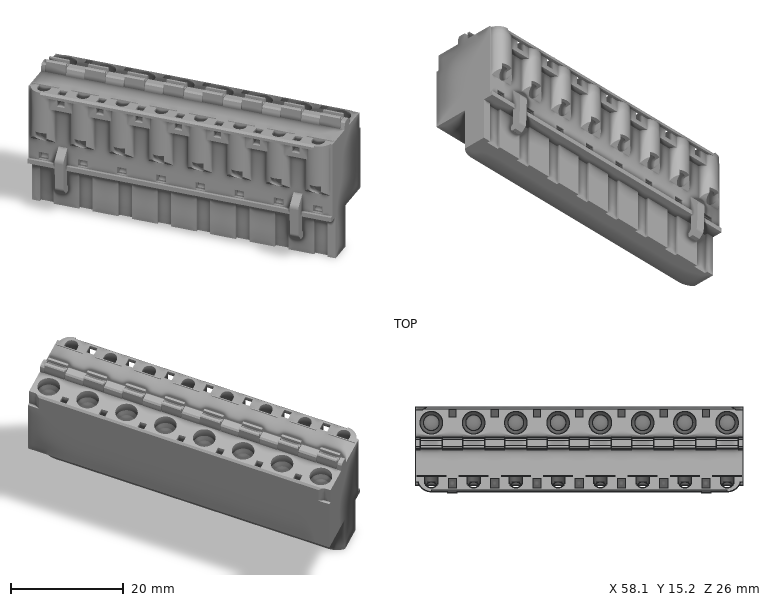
import cadquery as cq


length = 58.1
poles = 8
pitch = 7.5
pole_x = [(i - (poles - 1) / 2) * pitch for i in range(poles)]
gap_x = [x + pitch / 2 for x in pole_x[:-1]]
latch_x = [gap_x[0], gap_x[-1]]

body_depth = 13.3
body_bottom = 8.35
body_top = 23.75
leg_front = 1.5
leg_back = 7.3
leg_corner_drop = 1.1
leg_groove_width = 2.6
leg_groove_depth = 0.6
rail_height = 0.9
rail_reach = 0.6

barrel_reach = 1.75
barrel_half_chord = 2.4
barrel_bottom = 13.3
barrel_slope_rise = 1.5
cap_bottom = 22.9
cap_chamfer = 0.35
web_reach = 1.15
web_bottom = 20.45

channel_width = 2.4
channel_back = 1.0
channel_arc_y = 0.2
outlet_top = 15.7
marker_length = 5.1
marker_width = 0.2
marker_height = 0.2

front_pocket_width = 1.45
front_pocket_front = -1.05
front_pocket_back = 0.6
pocket_floor = 21.3
back_pocket_size = 1.3
back_pocket_y = 12.2

wire_diameter = 4.0
wire_y = 10.5
wire_straight_depth = 1.8
wire_seat_diameter = 2.8

window_width = 1.85
window_height = 1.4
window_bottom = 9.4
window_depth = 0.45
slope_width = 1.3
slope_height = 0.95

ridge_front = 5.7
ridge_back = 7.95
ridge_height = 1.55
ridge_chamfer_height = 0.3
ridge_top_front = 6.3
ridge_top_back = 7.55
ridge_lean_front = 0.3
ridge_lean_back = 0.1
holder_width = 3.8
holder_gap = 0.1
holder_front = 5.85
holder_back = 7.9
holder_wall = 0.6
holder_chamfer = 0.2
holder_top = 26.0

latch_width = 1.7
latch_reach = 1.9
latch_top = 12.65
latch_bend_reach = 1.55
latch_bend_bottom = 10.3
latch_heel_reach = 1.75
latch_heel_top = 5.2
latch_heel_bend_reach = 1.5
latch_heel_bend_bottom = 4.65
latch_bottom = 3.85
latch_toe_reach = 0.7
latch_inner_reach = 0.2
hook_inset = 0.35
hook_bottom_bevel = 0.25
hook_side_top = 4.75
hook_top_bevel = 0.5

back_edge_chamfer = 0.35
back_relief_bottom = 20.45
back_relief_depth = 0.5
back_relief_short = 1.2
back_relief_long = 2.1


def block(x, width, y_front, y_back, z_low, z_high):
    """Box centred on x, between two Y planes and two Z levels."""
    corner = cq.Vector(x - width / 2, y_front, z_low)
    return cq.Workplane(obj=cq.Solid.makeBox(width, y_back - y_front, z_high - z_low, corner))


def side_profile(points, x, width):
    """Extrude a closed (Y, Z) outline along X, centred on x."""
    return cq.Workplane("YZ", origin=(x - width / 2, 0, 0)).polyline(points).close().extrude(width)


def make_housing():
    housing = block(0, length, 0, body_depth, body_bottom, body_top)
    housing = housing.faces(">Y").edges(">Z").chamfer(back_edge_chamfer)
    rail = block(0, length, -rail_reach, leg_front, body_bottom, body_bottom + rail_height)
    return housing.union(rail).cut(make_back_relief(1)).cut(make_back_relief(-1))


def make_back_relief(side):
    """Shallow corner relief at the top of the back wall, on the end given by side (1 or -1)."""
    end = side * length / 2
    floor_y = body_depth - back_relief_depth
    points = [
        (end, floor_y),
        (end - side * back_relief_short, floor_y),
        (end - side * back_relief_long, body_depth),
        (end, body_depth),
    ]
    relief = cq.Workplane("XY", origin=(0, 0, back_relief_bottom)).polyline(points).close()
    return relief.extrude(body_top - back_relief_bottom)


def make_leg():
    """Plug leg with swept back corners and one front groove per pole."""
    sweep_start = pole_x[-1]
    half = (
        cq.Workplane("XY")
        .moveTo(0, leg_front)
        .lineTo(0, leg_back)
        .lineTo(sweep_start, leg_back)
        .tangentArcPoint((length / 2, leg_back - leg_corner_drop), relative=False)
        .lineTo(length / 2, leg_front)
        .close()
        .extrude(body_bottom)
    )
    leg = half.union(half.mirror("YZ"))
    for x in pole_x:
        leg = leg.cut(block(x, leg_groove_width, leg_front, leg_front + leg_groove_depth, 0, body_bottom))
    return leg


def make_barrel(x):
    """Convex column on the front wall with a sloping underside."""
    column = (
        cq.Workplane("XY", origin=(x, 0, barrel_bottom))
        .moveTo(-barrel_half_chord, 0)
        .threePointArc((0, -barrel_reach), (barrel_half_chord, 0))
        .close()
        .extrude(cap_bottom - barrel_bottom)
    )
    slope = [
        (0, barrel_bottom),
        (-barrel_reach, barrel_bottom + barrel_slope_rise),
        (-barrel_reach, barrel_bottom),
    ]
    return column.cut(side_profile(slope, x, 2 * barrel_half_chord))


def make_cap():
    """Cap that wraps the end barrels and runs straight between them, chamfered along the straight edge."""
    last = pole_x[-1]
    half = (
        cq.Workplane("XY", origin=(0, 0, cap_bottom))
        .lineTo(0, -barrel_reach)
        .lineTo(last, -barrel_reach)
        .tangentArcPoint((last + barrel_half_chord, 0), relative=False)
        .close()
        .extrude(body_top - cap_bottom)
    )
    chamfer = [
        (-barrel_reach, body_top),
        (-barrel_reach, body_top - cap_chamfer),
        (-barrel_reach + cap_chamfer, body_top),
    ]
    return half.union(half.mirror("YZ")).cut(side_profile(chamfer, 0, 2 * last))


def make_channel(x):
    """Round-fronted shaft from the top that opens forward through a round-bottomed outlet."""
    radius = channel_width / 2
    outlet_axis_z = barrel_bottom + radius
    shaft = (
        cq.Workplane("XY", origin=(x, 0, outlet_axis_z))
        .moveTo(-radius, channel_back)
        .lineTo(-radius, channel_arc_y)
        .threePointArc((0, channel_arc_y - radius), (radius, channel_arc_y))
        .lineTo(radius, channel_back)
        .close()
        .extrude(body_top - outlet_axis_z)
    )
    outlet = (
        cq.Workplane("XZ", origin=(x, channel_back, 0))
        .moveTo(-radius, outlet_top)
        .lineTo(-radius, outlet_axis_z)
        .threePointArc((0, barrel_bottom), (radius, outlet_axis_z))
        .lineTo(radius, outlet_top)
        .close()
        .extrude(channel_back + barrel_reach)
    )
    return shaft.union(outlet)


def make_front_pocket(x):
    """Square pocket from the top with a window through the web in front of it."""
    pocket = block(x, front_pocket_width, front_pocket_front, front_pocket_back, pocket_floor, body_top)
    window = block(x, front_pocket_width, -web_reach, front_pocket_back, pocket_floor, cap_bottom)
    return pocket.union(window)


def make_back_pocket(x):
    half = back_pocket_size / 2
    return block(x, back_pocket_size, back_pocket_y - half, back_pocket_y + half, pocket_floor, body_top)


def make_wire_entry(x):
    """Blind round entry that narrows at 45 degrees to a flat seat."""
    outer = wire_diameter / 2
    seat = wire_seat_diameter / 2
    taper_end = wire_straight_depth + outer - seat
    return (
        cq.Workplane("XZ", origin=(x, wire_y, body_top))
        .polyline([(0, 0), (outer, 0), (outer, -wire_straight_depth), (seat, -taper_end), (0, -taper_end)])
        .close()
        .revolve(360, (0, 0, 0), (0, 1, 0))
    )


def make_window(x):
    """Shallow rectangular recess with a smaller pocket whose floor rises to the back."""
    recess = block(x, window_width, 0, window_depth, window_bottom, window_bottom + window_height)
    low = window_bottom + (window_height - slope_height) / 2
    high = low + slope_height
    slope = [
        (window_depth, low),
        (window_depth, high),
        (window_depth + slope_height, high),
    ]
    return recess.union(side_profile(slope, x, slope_width))


def make_ridge():
    """Sloped ridge along the top, interrupted at every label holder."""
    top = body_top + ridge_height
    shoulder = top - ridge_chamfer_height
    points = [
        (ridge_front, body_top),
        (ridge_front + ridge_lean_front, shoulder),
        (ridge_top_front, top),
        (ridge_top_back, top),
        (ridge_back - ridge_lean_back, shoulder),
        (ridge_back, body_top),
    ]
    ridge = side_profile(points, 0, length)
    for x in pole_x:
        gap_width = holder_width + 2 * holder_gap
        ridge = ridge.cut(block(x, gap_width, ridge_front, ridge_back, body_top, body_top + ridge_height))
    return ridge


def make_holder(x):
    """U-shaped label holder: two upright walls with chamfered outer edges over a solid base."""
    slot_floor = body_top + ridge_height
    holder = block(x, holder_width, holder_front, holder_back, body_top, holder_top)
    holder = holder.edges("|X and >Z").chamfer(holder_chamfer)
    slot_front = holder_front + holder_wall
    slot_back = holder_back - holder_wall
    return holder.cut(block(x, holder_width, slot_front, slot_back, slot_floor, holder_top))


def make_latch(x):
    """Hooked spring arm hanging from the front wall."""
    return (
        cq.Workplane("YZ", origin=(x - latch_width / 2, 0, 0))
        .moveTo(0, latch_top)
        .lineTo(-latch_bend_reach, latch_top - latch_bend_reach)
        .tangentArcPoint((-latch_reach, latch_bend_bottom), relative=False)
        .lineTo(-latch_heel_reach, latch_heel_top)
        .tangentArcPoint((-latch_heel_bend_reach, latch_heel_bend_bottom), relative=False)
        .lineTo(-latch_toe_reach, latch_bottom)
        .lineTo(hook_inset - hook_bottom_bevel, latch_bottom)
        .lineTo(hook_inset, latch_bottom + hook_bottom_bevel)
        .lineTo(hook_inset, hook_side_top)
        .lineTo(-latch_inner_reach, hook_side_top + hook_top_bevel)
        .lineTo(-latch_inner_reach, body_bottom)
        .lineTo(0, body_bottom)
        .close()
        .extrude(latch_width)
    )


result = make_housing().union(make_leg()).union(make_cap()).union(make_ridge())

for x in pole_x:
    result = result.union(make_barrel(x)).union(make_holder(x))
for x in gap_x:
    result = result.union(block(x, pitch, -web_reach, 0, web_bottom, cap_bottom))
for x in latch_x:
    result = result.union(make_latch(x))

for x in pole_x:
    result = result.cut(make_channel(x)).cut(make_wire_entry(x)).cut(make_window(x))
    marker_y = channel_back + marker_width
    marker = block(x, marker_length, channel_back, marker_y, body_top, body_top + marker_height)
    result = result.union(marker)
for x in gap_x:
    result = result.cut(make_front_pocket(x)).cut(make_back_pocket(x))